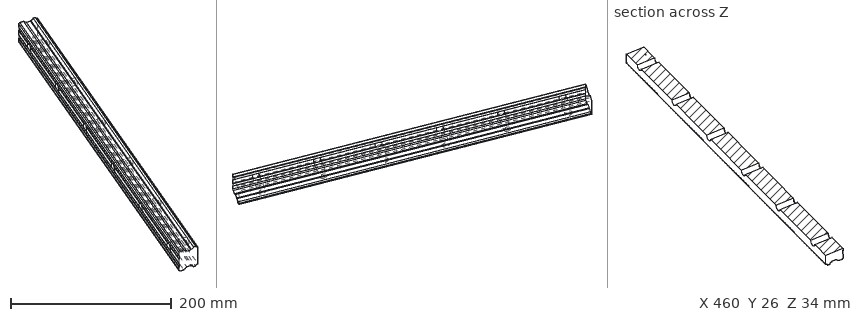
import cadquery as cq

length = 460.0
height = 26.0
width = 34.0

base_y = -height / 2
crown_y = height / 2
half_width = width / 2

base_chamfer = 1.5
foot_flank_top_y = -6.4
waist_half_width = 13.5
waist_low_y = -2.3
waist_high_y = 3.1

crown_half_width = 14.3
head_bottom_y = 3.8
rib_bottom_y = 6.95
rib_top_y = 10.0
track_radius = 3.0

channel_inner = 3.7
channel_outer = 9.5
channel_depth = 0.5

hole_diameter = 9.0
hole_pitch = 80.0
hole_count = 6


def half_rail():
    """The half of the rail on the +Z side, extruded along X."""
    return (
        cq.Workplane("YZ")
        .moveTo(base_y, 0)
        .lineTo(base_y, half_width - base_chamfer)
        .lineTo(base_y + base_chamfer, half_width)
        .lineTo(foot_flank_top_y, half_width)
        .lineTo(waist_low_y, waist_half_width)
        .lineTo(waist_high_y, waist_half_width)
        .lineTo(head_bottom_y, crown_half_width)
        .radiusArc((rib_bottom_y, half_width), -track_radius)
        .lineTo(rib_top_y, half_width)
        .radiusArc((crown_y, crown_half_width), -track_radius)
        .lineTo(crown_y, 0)
        .close()
        .extrude(length / 2, both=True)
    )


def base_channel():
    """The shallow channel on the +Z side of the base, narrower at its floor."""
    floor_y = base_y + channel_depth
    return (
        cq.Workplane("YZ")
        .moveTo(base_y, channel_inner)
        .lineTo(base_y, channel_outer)
        .lineTo(floor_y, channel_outer - channel_depth)
        .lineTo(floor_y, channel_inner + channel_depth)
        .close()
        .extrude(length / 2, both=True)
    )


def mounting_holes():
    """A row of plain holes through the full height of the rail."""
    return (
        cq.Workplane("XZ", origin=(0, base_y, 0))
        .rarray(hole_pitch, 1, hole_count, 1)
        .circle(hole_diameter / 2)
        .extrude(-height)
    )


half = half_rail().cut(base_channel())
rail = half.union(half.mirror("XY")).clean()
result = rail.cut(mounting_holes())